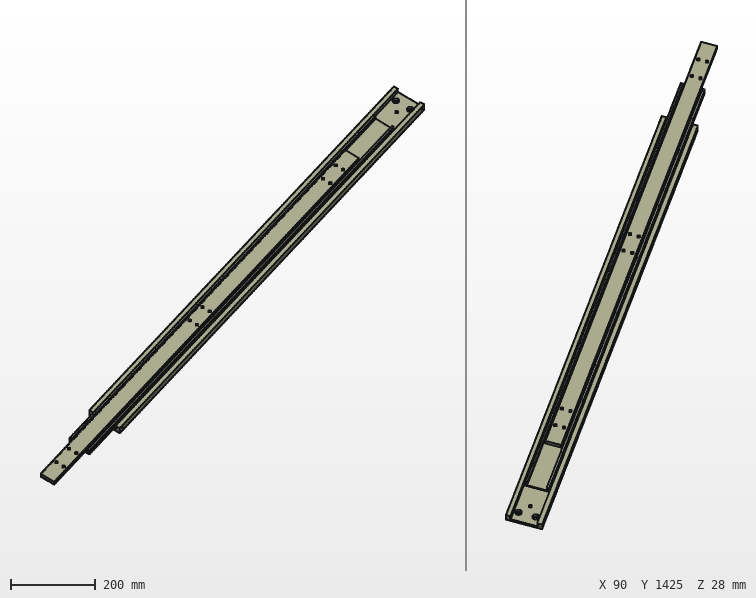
import cadquery as cq

TOTAL_LENGTH = 1425.0
RAIL_LENGTH = 1200.0
MIDDLE_SETBACK = 100.0
OUTER_START = TOTAL_LENGTH - RAIL_LENGTH
MIDDLE_START = OUTER_START - MIDDLE_SETBACK
INNER_START = 0.0

OUTER_WIDTH = 90.0
OUTER_HEIGHT = 20.0
OUTER_FLOOR = 7.8
OUTER_CHANNEL_WIDTH = 65.0
OUTER_GROOVE_DEPTH = 2.1

MIDDLE_BOTTOM = 10.7
MIDDLE_TOP = 25.0
MIDDLE_FLOOR = 4.0
MIDDLE_WIDTH = 60.0
MIDDLE_CHANNEL_WIDTH = 48.0
MIDDLE_GROOVE_BOTTOM = 15.0

INNER_BOTTOM = 17.0
INNER_TOP = 28.0
INNER_WIDTH = 40.0
INNER_GROOVE_BOTTOM = 20.0

SIDE_GROOVE_HEIGHT = 4.0
SIDE_GROOVE_DEPTH = 1.0

SCREW_HOLE_DIAMETER = 9.0
SCREW_HEAD_DIAMETER = 15.0
SCREW_HEAD_ANGLE = 90
SCREW_SPACING = 43.0
SCREW_SETBACK = 24.0
LOCATING_HOLE_DIAMETER = 7.0
LOCATING_HOLE_SETBACK = 50.0

STOP_HOLE_DIAMETER = 5.0
STOP_HOLE_SETBACK = 10.0
STOP_HOLE_HEIGHT = 14.0

INNER_HOLE_DIAMETER = 6.5
INNER_HOLE_SPACING = 21.0
INNER_HOLE_PITCH = 50.0
INNER_GROUP_SETBACK = 1.5 * INNER_HOLE_PITCH


def extrude_rail(profile, start):
    """Close an XZ profile and extrude it over one rail length along +Y."""
    return profile.close().extrude(-RAIL_LENGTH).translate((0, start, 0))


def right_side(profile, half_width, groove_bottom, top):
    """Draw the +X side upwards, with a round groove sunk into it."""
    groove_top = groove_bottom + SIDE_GROOVE_HEIGHT
    deepest = (half_width - SIDE_GROOVE_DEPTH, groove_bottom + SIDE_GROOVE_HEIGHT / 2)
    return (
        profile.lineTo(half_width, groove_bottom)
        .threePointArc(deepest, (half_width, groove_top))
        .lineTo(half_width, top)
    )


def left_side(profile, half_width, groove_bottom):
    """Draw the -X side downwards to the bottom of its groove."""
    groove_top = groove_bottom + SIDE_GROOVE_HEIGHT
    deepest = (SIDE_GROOVE_DEPTH - half_width, groove_bottom + SIDE_GROOVE_HEIGHT / 2)
    return profile.lineTo(-half_width, groove_top).threePointArc(deepest, (-half_width, groove_bottom))


def outer_channel():
    """Channel whose walls are hollowed by an arc from the floor to the lip."""
    half_width = OUTER_WIDTH / 2
    half_channel = OUTER_CHANNEL_WIDTH / 2
    deepest_x = half_channel + OUTER_GROOVE_DEPTH
    deepest_z = (OUTER_FLOOR + OUTER_HEIGHT) / 2
    profile = (
        cq.Workplane("XZ")
        .moveTo(-half_width, 0)
        .lineTo(half_width, 0)
        .lineTo(half_width, OUTER_HEIGHT)
        .lineTo(half_channel, OUTER_HEIGHT)
        .threePointArc((deepest_x, deepest_z), (half_channel, OUTER_FLOOR))
        .lineTo(-half_channel, OUTER_FLOOR)
        .threePointArc((-deepest_x, deepest_z), (-half_channel, OUTER_HEIGHT))
        .lineTo(-half_width, OUTER_HEIGHT)
    )
    return extrude_rail(profile, OUTER_START)


def floor_holes(rail):
    """Cut two countersunk screw holes and one plain hole near the rear end of the floor."""
    screw_y = TOTAL_LENGTH - SCREW_SETBACK
    locating_y = TOTAL_LENGTH - LOCATING_HOLE_SETBACK
    floor = cq.Workplane("XY", origin=(0, 0, OUTER_FLOOR))
    screw_points = [(-SCREW_SPACING / 2, screw_y), (SCREW_SPACING / 2, screw_y)]
    rail = (
        rail.copyWorkplane(floor)
        .pushPoints(screw_points)
        .cskHole(SCREW_HOLE_DIAMETER, SCREW_HEAD_DIAMETER, SCREW_HEAD_ANGLE)
    )
    return rail.copyWorkplane(floor).pushPoints([(0, locating_y)]).hole(LOCATING_HOLE_DIAMETER)


def stop_holes():
    """Round bars along X that cross both walls near each end of the outer rail."""
    front_y = OUTER_START + STOP_HOLE_SETBACK
    rear_y = TOTAL_LENGTH - STOP_HOLE_SETBACK
    return (
        cq.Workplane("YZ")
        .pushPoints([(front_y, STOP_HOLE_HEIGHT), (rear_y, STOP_HOLE_HEIGHT)])
        .circle(STOP_HOLE_DIAMETER / 2)
        .extrude(OUTER_WIDTH / 2, both=True)
    )


def make_outer_rail():
    return floor_holes(outer_channel()).cut(stop_holes())


def make_middle_rail():
    half_width = MIDDLE_WIDTH / 2
    half_channel = MIDDLE_CHANNEL_WIDTH / 2
    floor_top = MIDDLE_BOTTOM + MIDDLE_FLOOR
    profile = (
        cq.Workplane("XZ")
        .moveTo(-half_width, MIDDLE_BOTTOM)
        .lineTo(half_width, MIDDLE_BOTTOM)
    )
    profile = right_side(profile, half_width, MIDDLE_GROOVE_BOTTOM, MIDDLE_TOP)
    profile = (
        profile.lineTo(half_channel, MIDDLE_TOP)
        .lineTo(half_channel, floor_top)
        .lineTo(-half_channel, floor_top)
        .lineTo(-half_channel, MIDDLE_TOP)
        .lineTo(-half_width, MIDDLE_TOP)
    )
    profile = left_side(profile, half_width, MIDDLE_GROOVE_BOTTOM)
    return extrude_rail(profile, MIDDLE_START)


def inner_bar():
    half_width = INNER_WIDTH / 2
    profile = (
        cq.Workplane("XZ")
        .moveTo(-half_width, INNER_BOTTOM)
        .lineTo(half_width, INNER_BOTTOM)
    )
    profile = right_side(profile, half_width, INNER_GROOVE_BOTTOM, INNER_TOP)
    profile = profile.lineTo(-half_width, INNER_TOP)
    profile = left_side(profile, half_width, INNER_GROOVE_BOTTOM)
    return extrude_rail(profile, INNER_START)


def hole_group(rail, centre_y):
    """Drill four through holes around the given place on the inner rail."""
    return (
        rail.copyWorkplane(cq.Workplane("XY", origin=(0, centre_y, INNER_TOP)))
        .rect(INNER_HOLE_SPACING, INNER_HOLE_PITCH, forConstruction=True)
        .vertices()
        .hole(INNER_HOLE_DIAMETER)
    )


def make_inner_rail():
    rail = inner_bar()
    front_group = INNER_START + INNER_GROUP_SETBACK
    middle_group = INNER_START + RAIL_LENGTH / 2
    rear_group = INNER_START + RAIL_LENGTH - INNER_GROUP_SETBACK
    for centre_y in (front_group, middle_group, rear_group):
        rail = hole_group(rail, centre_y)
    return rail


outer_rail = make_outer_rail()
middle_rail = make_middle_rail()
inner_rail = make_inner_rail()

rails = [outer_rail, middle_rail, inner_rail]
result = cq.Compound.makeCompound([rail.solids().val() for rail in rails])